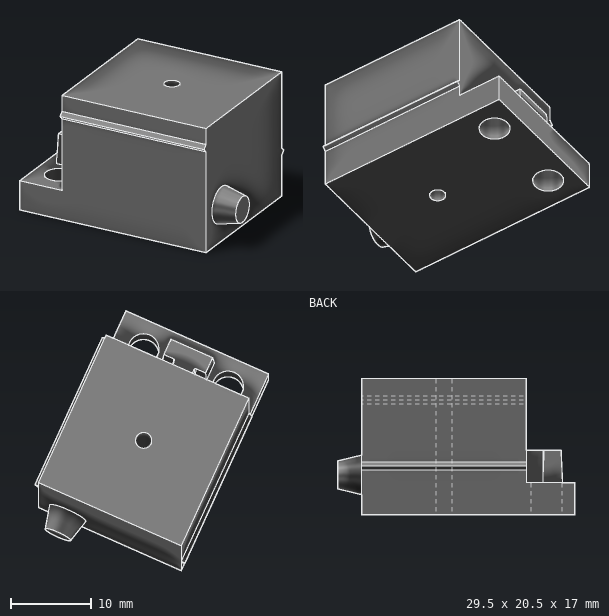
import cadquery as cq
import math

flange_length = 6.02
block_length = 20.5
body_length = flange_length + block_length
body_width = 19.5
body_height = 17.0
flange_height = 4.0

ridge_depth = 0.5
ridge_half_height = 0.5
front_ridge_z = 14.3
back_ridge_z = 6.08

mount_hole_diameter = 3.84
mount_hole_x = 3.5
mount_hole_spacing = 11.53
center_hole_diameter = 2.0

key_start_x = 1.5
key_bar_length = 2.48
key_bar_width = 6.05
key_stem_width = 3.07
key_height = 4.05
key_inset_at_top = 0.18

nozzle_length = 29.5 - body_length
nozzle_root_diameter = 4.95
nozzle_tip_diameter = 3.5
nozzle_y = -5.75
nozzle_z = 5.0


def make_body():
    """L-shaped block with a low flange at one end."""
    return (
        cq.Workplane("XZ")
        .polyline([
            (0, 0),
            (body_length, 0),
            (body_length, body_height),
            (flange_length, body_height),
            (flange_length, flange_height),
            (0, flange_height),
        ])
        .close()
        .extrude(body_width / 2, both=True)
    )


def make_ridge(side, z):
    """Ridge along the block; side is -1 for the -Y face and 1 for the +Y face."""
    face_y = side * body_width / 2
    return (
        cq.Workplane("YZ", origin=(flange_length, 0, 0))
        .polyline([
            (face_y, z - ridge_half_height),
            (face_y + side * ridge_depth, z),
            (face_y, z + ridge_half_height),
        ])
        .close()
        .extrude(block_length)
    )


def make_key():
    """T-shaped key whose stem runs into the block."""
    bar_end_x = key_start_x + key_bar_length
    stem_end_x = flange_length + key_bar_length
    draft_angle = math.degrees(math.atan2(key_inset_at_top, key_height))
    return (
        cq.Workplane("XY", origin=(0, 0, flange_height))
        .polyline([
            (key_start_x, -key_bar_width / 2),
            (bar_end_x, -key_bar_width / 2),
            (bar_end_x, -key_stem_width / 2),
            (stem_end_x, -key_stem_width / 2),
            (stem_end_x, key_stem_width / 2),
            (bar_end_x, key_stem_width / 2),
            (bar_end_x, key_bar_width / 2),
            (key_start_x, key_bar_width / 2),
        ])
        .close()
        .extrude(key_height, taper=draft_angle)
    )


def make_nozzle():
    """Cone frustum pointing along +X."""
    return cq.Workplane(
        cq.Solid.makeCone(
            nozzle_root_diameter / 2,
            nozzle_tip_diameter / 2,
            nozzle_length,
            pnt=cq.Vector(body_length, nozzle_y, nozzle_z),
            dir=cq.Vector(1, 0, 0),
        )
    )


def make_vertical_hole(x, y, diameter):
    """Cutting cylinder through the full height of the body."""
    return cq.Workplane("XY").center(x, y).circle(diameter / 2).extrude(body_height)


result = make_body()
result = result.union(make_ridge(-1, front_ridge_z))
result = result.union(make_ridge(1, back_ridge_z))
result = result.union(make_key())
result = result.union(make_nozzle())

for side in (-1, 1):
    hole_y = side * mount_hole_spacing / 2
    result = result.cut(make_vertical_hole(mount_hole_x, hole_y, mount_hole_diameter))

block_center_x = flange_length + block_length / 2
result = result.cut(make_vertical_hole(block_center_x, 0, center_hole_diameter))